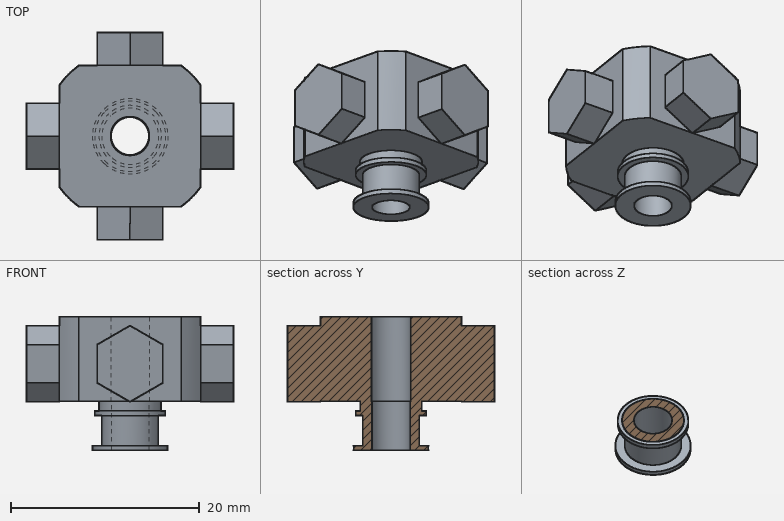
import cadquery as cq
import math

span = 22.0
total_height = 14.2

body_width = 15.0
body_height = 9.0
corner_diameter = 18.5

hex_across_flats = 7.0
hex_across_corners = hex_across_flats / math.cos(math.radians(30))
hex_axis_depth = 5.0
cap_count = 4

neck_diameter = 6.6
neck_length = 1.0
collar_diameter = 7.5
collar_thickness = 0.5
shank_diameter = 6.0
flange_diameter = 8.0
flange_thickness = 0.5
shank_length = total_height - body_height - neck_length - collar_thickness - flange_thickness

body_bore_diameter = 4.14
stem_bore_diameter = 4.0

stem_bottom = body_height - total_height
hex_axis_height = body_height - hex_axis_depth


def make_body():
    square = cq.Workplane("XY").rect(body_width, body_width).extrude(body_height)
    corner_limit = cq.Workplane("XY").circle(corner_diameter / 2).extrude(body_height)
    return square.intersect(corner_limit)


def make_cap(angle):
    """Hexagonal cap with a corner pointing up, on the side face at the given angle."""
    cap = (
        cq.Workplane("YZ", origin=(body_width / 2, 0, hex_axis_height))
        .transformed(rotate=(0, 0, 90))
        .polygon(6, hex_across_corners)
        .extrude((span - body_width) / 2)
    )
    return cap.rotate((0, 0, 0), (0, 0, 1), angle)


def make_stem():
    """Neck, collar, shank and end flange stacked downwards."""
    return (
        cq.Workplane("XY")
        .circle(neck_diameter / 2)
        .extrude(-neck_length)
        .faces("<Z").workplane()
        .circle(collar_diameter / 2)
        .extrude(collar_thickness)
        .faces("<Z").workplane()
        .circle(shank_diameter / 2)
        .extrude(shank_length)
        .faces("<Z").workplane()
        .circle(flange_diameter / 2)
        .extrude(flange_thickness)
    )


def make_bore():
    body_bore = cq.Workplane("XY").circle(body_bore_diameter / 2).extrude(body_height)
    stem_bore = cq.Workplane("XY").circle(stem_bore_diameter / 2).extrude(stem_bottom)
    return body_bore.union(stem_bore)


result = make_body().union(make_stem())
for index in range(cap_count):
    result = result.union(make_cap(index * 360 / cap_count))
result = result.cut(make_bore())